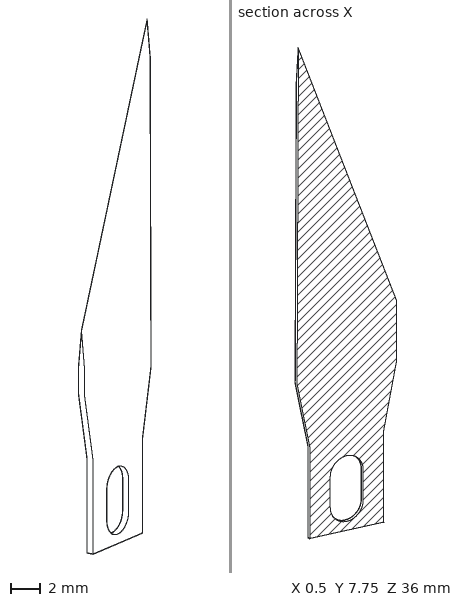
import cadquery as cq
import math

thickness = 0.5
length = 36.05
blade_width = 7.75
shank_width = 5.77
shank_height = 6.67
taper_top = 11.5
heel_height = 16.05
spine_lean = 0.1

bevel_drop = 2.67

slot_width = 2.52
slot_length = 4.75
slot_center_height = 3.05

half_blade = blade_width / 2
half_shank = shank_width / 2
tip_y = half_blade - spine_lean


def blade_blank():
    """Flat blade outline extruded symmetrically through its thickness."""
    outline = [
        (-half_shank, 0),
        (half_shank, 0),
        (half_shank, shank_height),
        (half_blade, taper_top),
        (tip_y, length),
        (-half_blade, heel_height),
        (-half_blade, taper_top),
        (-half_shank, shank_height),
    ]
    return cq.Workplane("YZ").polyline(outline).close().extrude(thickness / 2, both=True)


def mounting_slot():
    """Rounded slot through the shank."""
    return (
        cq.Workplane("YZ")
        .center(0, slot_center_height)
        .slot2D(slot_length, slot_width, angle=90)
        .extrude(thickness, both=True)
    )


def bevel_cutter(side):
    """Wedge that grinds one face (side = -1 or 1) down to the cutting edge."""
    edge_y = tip_y + half_blade
    edge_z = length - heel_height
    edge_length = math.hypot(edge_y, edge_z)
    bevel_width = bevel_drop * edge_y / edge_length

    section = cq.Plane(
        origin=(0, -half_blade, heel_height),
        xDir=(1, 0, 0),
        normal=(0, edge_y, edge_z),
    )
    overshoot = 2.0
    wedge = [
        (-side * thickness / 2 * overshoot, -bevel_width * overshoot),
        (side * thickness / 2 * (1 + overshoot), bevel_width * (1 + overshoot)),
        (side * thickness / 2 * (1 + overshoot), -bevel_width * overshoot),
    ]
    return cq.Workplane(section).polyline(wedge).close().extrude(edge_length, both=True)


result = blade_blank().cut(mounting_slot())
for side in (-1, 1):
    result = result.cut(bevel_cutter(side))